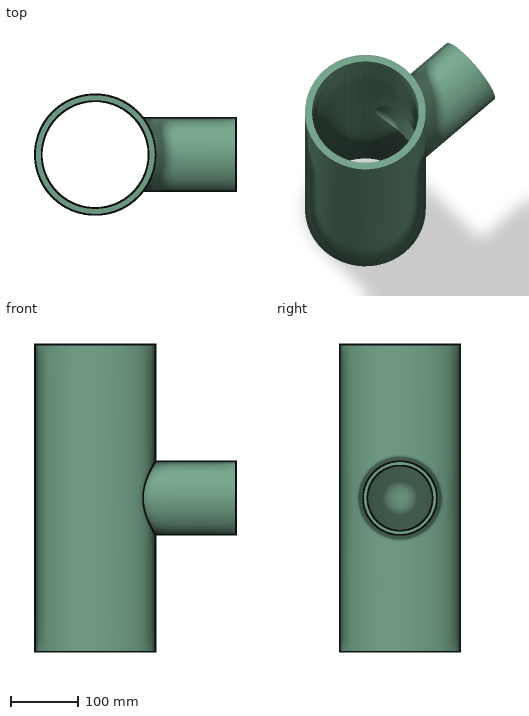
import cadquery as cq

main_length = 458.0
main_diameter = 180.0
main_wall = 10.5

branch_diameter = 110.0
branch_wall = 6.5
overall_width = 300.0
branch_reach = overall_width - main_diameter / 2


def main_cylinder(diameter):
    """Solid cylinder over the full length of the main pipe."""
    return cq.Workplane("XY").circle(diameter / 2).extrude(main_length / 2, both=True)


def branch_cylinder(diameter):
    """Solid cylinder from the main axis to the open end of the branch."""
    return cq.Workplane("YZ").circle(diameter / 2).extrude(branch_reach)


body = main_cylinder(main_diameter).union(branch_cylinder(branch_diameter))
main_bore = main_cylinder(main_diameter - 2 * main_wall)
branch_bore = branch_cylinder(branch_diameter - 2 * branch_wall)

result = body.cut(main_bore).cut(branch_bore)